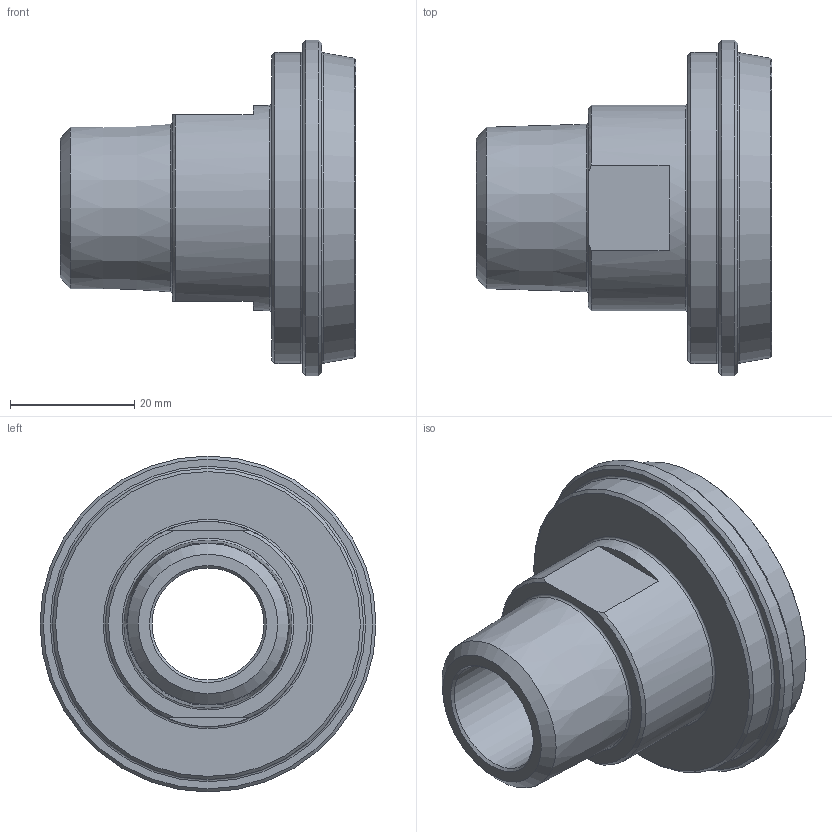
import cadquery as cq
import math

shoulder_x = 18.0
flat_end_x = 31.0
flange_x = 34.0
rim_start_x = 39.0
rim_end_x = 42.0
total_length = 47.5

bore_diameter = 18.0
spigot_diameter = 25.94
collar_diameter = 33.0
flange_diameter = 50.0
rim_diameter = 54.0

spigot_taper = 1 / 32
plug_half_angle = 10.0
flats_width = 30.0
lead_in_length = 1.6
lead_in_depth = 1.77
edge_chamfer = 0.5
plug_end_chamfer = 0.2
bore_chamfer = 0.4
root_fillet = 0.35

spigot_radius = spigot_diameter / 2
spigot_root_radius = spigot_radius + spigot_taper * (shoulder_x - lead_in_length)
collar_radius = collar_diameter / 2
flange_radius = flange_diameter / 2
rim_radius = rim_diameter / 2
bore_radius = bore_diameter / 2
plug_root_radius = flange_radius
plug_length = total_length - rim_end_x
plug_end_radius = plug_root_radius - plug_length * math.tan(math.radians(plug_half_angle))


def edges_near(body, x, radius):
    """Select the circular edge of the given radius at station x."""
    margin = 0.01
    low = (x - margin, -radius - margin, -radius - margin)
    high = (x + margin, radius + margin, radius + margin)
    inner = radius - margin
    low_inner = (x - margin, -inner, -inner)
    high_inner = (x + margin, inner, inner)
    inside = cq.selectors.BoxSelector(low, high, boundingbox=True)
    smaller = cq.selectors.BoxSelector(low_inner, high_inner, boundingbox=True)
    return body.edges(inside - smaller)


def make_turned_body():
    """Stepped outline revolved about the X axis."""
    outline = (
        cq.Workplane("XY")
        .moveTo(0, 0)
        .lineTo(0, spigot_radius - lead_in_depth)
        .lineTo(lead_in_length, spigot_radius)
        .lineTo(shoulder_x, spigot_root_radius)
        .lineTo(shoulder_x, collar_radius)
        .lineTo(flange_x, collar_radius)
        .lineTo(flange_x, flange_radius)
        .lineTo(rim_start_x, flange_radius)
        .lineTo(rim_start_x, rim_radius)
        .lineTo(rim_end_x, rim_radius)
        .lineTo(rim_end_x, plug_root_radius)
        .lineTo(total_length, plug_end_radius)
        .lineTo(total_length, 0)
        .close()
    )
    return outline.revolve(360, (0, 0, 0), (1, 0, 0))


def break_outer_edges(body):
    """Chamfer the outer corners and round the inner corners of the steps."""
    chamfered_corners = [
        (shoulder_x, collar_radius, edge_chamfer),
        (flange_x, flange_radius, edge_chamfer),
        (rim_start_x, rim_radius, edge_chamfer),
        (rim_end_x, rim_radius, edge_chamfer),
        (total_length, plug_end_radius, plug_end_chamfer),
    ]
    rounded_corners = [
        (shoulder_x, spigot_root_radius),
        (flange_x, collar_radius),
        (rim_start_x, flange_radius),
        (rim_end_x, plug_root_radius),
    ]
    for x, radius, size in chamfered_corners:
        body = edges_near(body, x, radius).chamfer(size)
    for x, radius in rounded_corners:
        body = edges_near(body, x, radius).fillet(root_fillet)
    return body


def cut_bore(body):
    """Through bore, chamfered at the small end."""
    bore = cq.Workplane("YZ").circle(bore_radius).extrude(total_length)
    body = body.cut(bore)
    return edges_near(body, 0, bore_radius).chamfer(bore_chamfer)


def cut_wrench_flats(body):
    """Two parallel flats on the top and bottom of the collar."""
    flat_length = flat_end_x - shoulder_x
    cutter_height = collar_radius - flats_width / 2
    cutter_z = flats_width / 2 + cutter_height / 2
    for side in (1, -1):
        cutter = (
            cq.Workplane("XY")
            .box(flat_length, collar_diameter, cutter_height)
            .translate((shoulder_x + flat_length / 2, 0, side * cutter_z))
        )
        body = body.cut(cutter)
    return body


result = make_turned_body()
result = break_outer_edges(result)
result = cut_bore(result)
result = cut_wrench_flats(result)